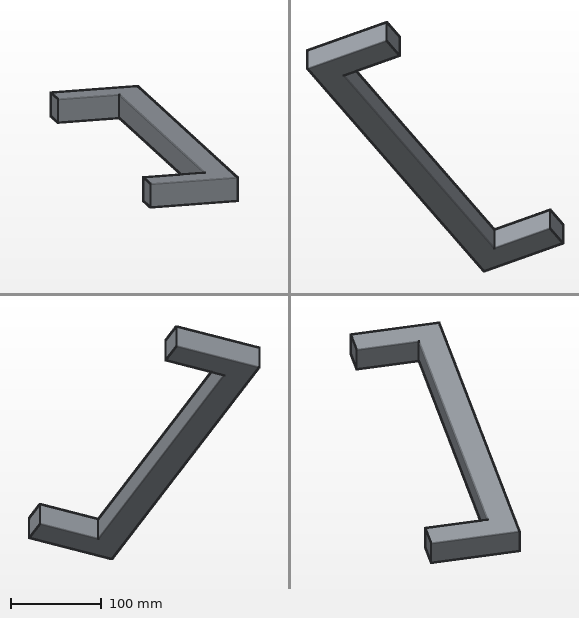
import cadquery as cq

LENGTH = 400.0
DEPTH = 100.0
HEIGHT = 27.0

BAR_WIDTH = 30.0
EDGE_RADIUS = 1.0


def make_handle():
    """U-shaped bar with its opening toward -Y and its long edges rounded."""
    outer_x = LENGTH / 2
    inner_x = outer_x - BAR_WIDTH
    inner_y = DEPTH - BAR_WIDTH
    bar = (
        cq.Workplane("XY")
        .polyline([
            (-outer_x, 0),
            (-outer_x, DEPTH),
            (outer_x, DEPTH),
            (outer_x, 0),
            (inner_x, 0),
            (inner_x, inner_y),
            (-inner_x, inner_y),
            (-inner_x, 0),
        ])
        .close()
        .extrude(HEIGHT)
    )
    foot_edges = bar.faces("<Y").edges()
    long_edges = bar.faces("|Z").edges().filter(
        lambda edge: all(not edge.isSame(foot_edge) for foot_edge in foot_edges.vals())
    )
    return long_edges.fillet(EDGE_RADIUS)


handle = make_handle()

result = cq.Compound.makeCompound([handle.val()])